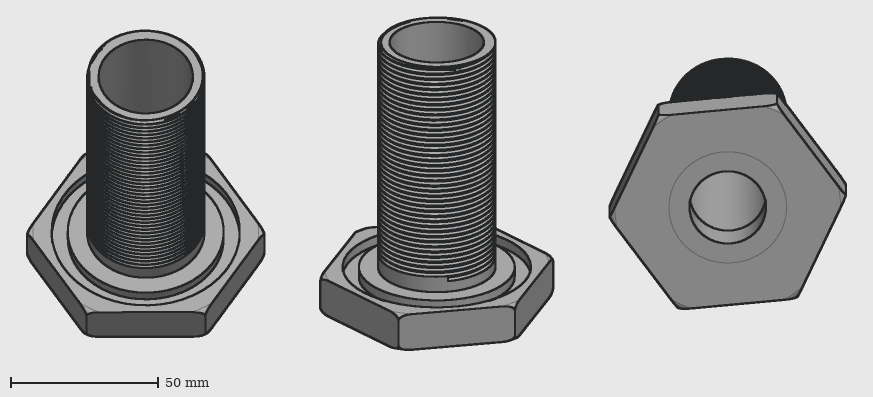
import cadquery as cq
import math

total_height = 98.0
across_flats = 70.0
across_corners = across_flats / math.cos(math.pi / 6)

flange_height = 13.4
corner_round = 2.1
groove_outer_diameter = 64.0
groove_inner_diameter = 53.0
groove_depth = 3.6

stem_radius = 40.0 / 2
socket_diameter = 32.0
through_diameter = 26.0

thread_start_height = 17.3
thread_turns = 42.2
thread_depth = 1.1
pitch = (total_height - thread_start_height) / thread_turns
cutter_gap = 0.1
cutter_overhang = 0.05


def make_flange():
    """Hexagon with rounded corners and a ring groove in its upper face."""
    hexagon = cq.Workplane("XY").polygon(6, across_corners).extrude(flange_height)
    rounded_disc = (
        cq.Workplane("XY")
        .circle(across_corners / 2)
        .extrude(flange_height)
        .edges()
        .fillet(corner_round)
    )
    ring_groove = (
        cq.Workplane("XY")
        .workplane(offset=flange_height - groove_depth)
        .circle(groove_outer_diameter / 2)
        .circle(groove_inner_diameter / 2)
        .extrude(groove_depth)
    )
    return hexagon.intersect(rounded_disc).cut(ring_groove)


def make_thread_cutter():
    """V-shaped helical cutter that starts on +Y and runs out past the stem's top."""
    half_mouth = (pitch - cutter_gap) / 2
    root_radius = stem_radius - thread_depth
    outer_radius = stem_radius + cutter_overhang
    helix = cq.Wire.makeHelix(pitch, (thread_turns + 1) * pitch, stem_radius)
    cutter = (
        cq.Workplane("XZ")
        .polyline([
            (root_radius, 0),
            (outer_radius, half_mouth),
            (outer_radius, -half_mouth),
        ])
        .close()
        .sweep(cq.Workplane(obj=helix), isFrenet=True)
    )
    first_groove_height = thread_start_height + half_mouth
    return cutter.rotate((0, 0, 0), (0, 0, 1), 90).translate((0, 0, first_groove_height))


def make_stem():
    """Threaded cylinder, made overlong so the thread ends inside it, then cut to length."""
    overlength = 3 * pitch
    threaded_bar = (
        cq.Workplane("XY")
        .circle(stem_radius)
        .extrude(total_height + overlength)
        .cut(make_thread_cutter(), clean=False)
    )
    excess = (
        cq.Workplane("XY")
        .workplane(offset=total_height)
        .circle(2 * stem_radius)
        .extrude(2 * overlength)
    )
    return threaded_bar.cut(excess, clean=False)


def make_bore():
    """Wide socket down to the flange's upper face, then a narrower through hole."""
    through_hole = cq.Workplane("XY").circle(through_diameter / 2).extrude(total_height)
    socket = (
        cq.Workplane("XY")
        .workplane(offset=flange_height)
        .circle(socket_diameter / 2)
        .extrude(total_height - flange_height)
    )
    return through_hole.union(socket)


result = make_flange().union(make_stem(), clean=False).cut(make_bore(), clean=False)